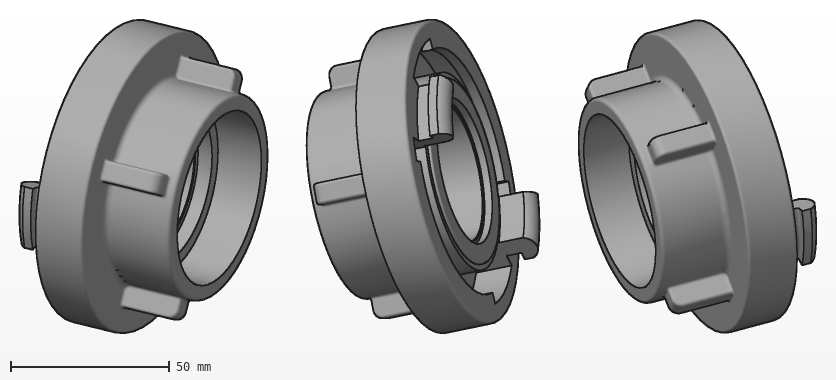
import cadquery as cq
import math


flange_radius = 49.0
flange_thickness = 17.1
flange_front_fillet = 1.2
flange_back_fillet = 1.0
socket_radius = 33.5
back_x = 40.1
socket_end_fillet = 1.3
socket_root_fillet = 2.0

seal_outer_radius = 30.0
seal_inner_radius = 23.5
seal_front_x = -0.7
seal_edge_fillet = 0.6
seal_seat_x = 1.9
bore_radius = 22.2
bore_chamfer = 0.3
bore_end_x = 19.6
relief_radius = 24.3
thread_start_x = 24.6
thread_radius = 28.3

collar_radius = 31.85
collar_front_x = 0.3
lip_radius = 39.7
lip_thickness = 3.4
recess_radius = 43.3
recess_depth = 12.1

lug_half_angle = 15.0
lug_angles = (0, 180)
lug_inner_radius = 32.7
lug_neck_radius = 38.9
lug_hook_radius = 41.9
hook_back_x = -5.0
hook_shoulder_x = -7.9
lug_tip_x = -10.9
hook_corner_fillet = 0.6

long_gap_angle = 50.0
short_gap_angle = 25.0

rib_angles = (60, 150, 240, 330)
rib_width = 6.9
rib_outer_radius = 40.7
rib_end_x = 36.9
rib_end_fillet = 3.2
rib_edge_fillet = 1.0
rib_root_fillet = 1.0


def tube(start_x, end_x, outer_radius, inner_radius):
    """Ring of rectangular section around the X axis."""
    sketch = cq.Workplane("YZ", origin=(start_x, 0, 0)).circle(outer_radius).circle(inner_radius)
    return sketch.extrude(end_x - start_x)


def sector(start_angle, end_angle, start_x, end_x):
    """Wedge from the axis to beyond the recess; angles run from +Y towards +Z."""
    reach = flange_radius
    start = math.radians(start_angle)
    end = math.radians(end_angle)
    middle = (start + end) / 2
    return (
        cq.Workplane("YZ", origin=(start_x, 0, 0))
        .lineTo(reach * math.cos(start), reach * math.sin(start))
        .threePointArc(
            (reach * math.cos(middle), reach * math.sin(middle)),
            (reach * math.cos(end), reach * math.sin(end)),
        )
        .close()
        .extrude(end_x - start_x)
    )


def edges_between(start_x, end_x, radius):
    """Selector for edges lying wholly within a stretch of X and a distance from the axis."""
    margin = 0.1
    reach = radius + margin
    return cq.selectors.BoxSelector(
        (start_x - margin, -reach, -reach), (end_x + margin, reach, reach), boundingbox=True
    )


def make_body():
    """Bored flange and socket with rounded rims and a rounded inner corner."""
    body = tube(0, flange_thickness, flange_radius, bore_radius)
    body = body.union(tube(0, back_x, socket_radius, bore_radius))
    rim = cq.selectors.RadiusNthSelector(-1)
    body = body.faces("<X").edges(rim).fillet(flange_front_fillet)
    flange_back = edges_between(flange_thickness, flange_thickness, flange_radius)
    body = body.edges(flange_back).edges(cq.selectors.RadiusNthSelector(0)).fillet(socket_root_fillet)
    body = body.edges(flange_back).edges(rim).fillet(flange_back_fillet)
    return body.faces(">X").edges(rim).fillet(socket_end_fillet)


def make_rib():
    """One rib along the socket, standing on the +Y side."""
    root_radius = (thread_radius + socket_radius) / 2
    start_x = (recess_depth + flange_thickness) / 2
    length = rib_end_x - start_x
    height = rib_outer_radius - root_radius
    rib = (
        cq.Workplane("XY", origin=(start_x, root_radius, 0))
        .box(length, height, rib_width, centered=(False, False, True))
    )
    rib = rib.faces(">X").edges(">Y").fillet(rib_end_fillet)
    return rib.faces(">Z or <Z").edges("(not <Y) and (not <X)").fillet(rib_edge_fillet)


def lies_on_surface(edge, solid):
    """True if the middle of the edge lies on the outer skin of the solid."""
    middle = edge.positionAt(0.5)
    touching_distance = 0.0001
    return solid.val().Shells()[0].distance(cq.Vertex.makeVertex(*middle.toTuple())) < touching_distance


def add_ribs(body):
    """Join the ribs to the body one by one and round the corners where they meet it."""
    for angle in rib_angles:
        rib = make_rib().rotate((0, 0, 0), (1, 0, 0), angle)
        joined = body.union(rib)
        root_edges = [
            edge
            for edge in joined.edges().vals()
            if lies_on_surface(edge, rib) and lies_on_surface(edge, body)
        ]
        body = joined.newObject(root_edges).fillet(rib_root_fillet)
    return body


def cut_recess(body):
    """Cut the ring recess under its lip and set the collar back, leaving a solid block behind each lug."""
    recess = tube(0, lip_thickness, lip_radius, collar_radius)
    recess = recess.union(tube(lip_thickness, recess_depth, recess_radius, collar_radius))
    lip_space = tube(0, lip_thickness, recess_radius, collar_radius)
    for angle in lug_angles:
        gap = sector(angle - short_gap_angle, angle + long_gap_angle, 0, lip_thickness)
        recess = recess.union(lip_space.intersect(gap))
    for angle in lug_angles:
        recess = recess.cut(sector(angle - lug_half_angle, angle + lug_half_angle, 0, recess_depth))
    collar_step = tube(0, collar_front_x, lug_inner_radius, bore_radius)
    return body.cut(recess).cut(collar_step)


def make_lug():
    """Hooked lug on the +Y side, turned about X through its angular width."""
    root_x = lip_thickness
    tip_radius = (lug_inner_radius + lug_hook_radius) / 2
    lug = (
        cq.Workplane("XY")
        .moveTo(root_x, lug_inner_radius)
        .lineTo(hook_shoulder_x, lug_inner_radius)
        .threePointArc((lug_tip_x, tip_radius), (hook_shoulder_x, lug_hook_radius))
        .lineTo(hook_back_x, lug_hook_radius)
        .lineTo(hook_back_x, lug_neck_radius + hook_corner_fillet)
        .radiusArc((hook_back_x + hook_corner_fillet, lug_neck_radius), -hook_corner_fillet)
        .lineTo(root_x, lug_neck_radius)
        .close()
        .revolve(2 * lug_half_angle, (0, 0, 0), (1, 0, 0))
    )
    return lug.rotate((0, 0, 0), (1, 0, 0), -lug_half_angle)


def make_seal():
    """Seal ring standing slightly proud of the front face."""
    seal = tube(seal_front_x, seal_seat_x, seal_outer_radius, seal_inner_radius)
    return seal.faces("<X").edges(cq.selectors.RadiusNthSelector(-1)).fillet(seal_edge_fillet)


def cut_rear_bore(body):
    """Relief bore and wider threaded bore, open at the back."""
    relief = cq.Workplane("YZ", origin=(bore_end_x, 0, 0)).circle(relief_radius)
    thread = cq.Workplane("YZ", origin=(thread_start_x, 0, 0)).circle(thread_radius)
    body = body.cut(relief.extrude(back_x - bore_end_x))
    return body.cut(thread.extrude(back_x - thread_start_x))


def chamfer_bore(body):
    """Break both rims of the central bore."""
    rims = edges_between(seal_seat_x, bore_end_x, bore_radius)
    return body.edges(rims).edges("%CIRCLE").chamfer(bore_chamfer)


result = add_ribs(make_body())
result = cut_recess(result)
for lug_angle in lug_angles:
    result = result.union(make_lug().rotate((0, 0, 0), (1, 0, 0), lug_angle))
result = cut_rear_bore(result)
result = result.cut(tube(0, seal_seat_x, seal_outer_radius, bore_radius))
result = chamfer_bore(result)
result = result.union(make_seal())